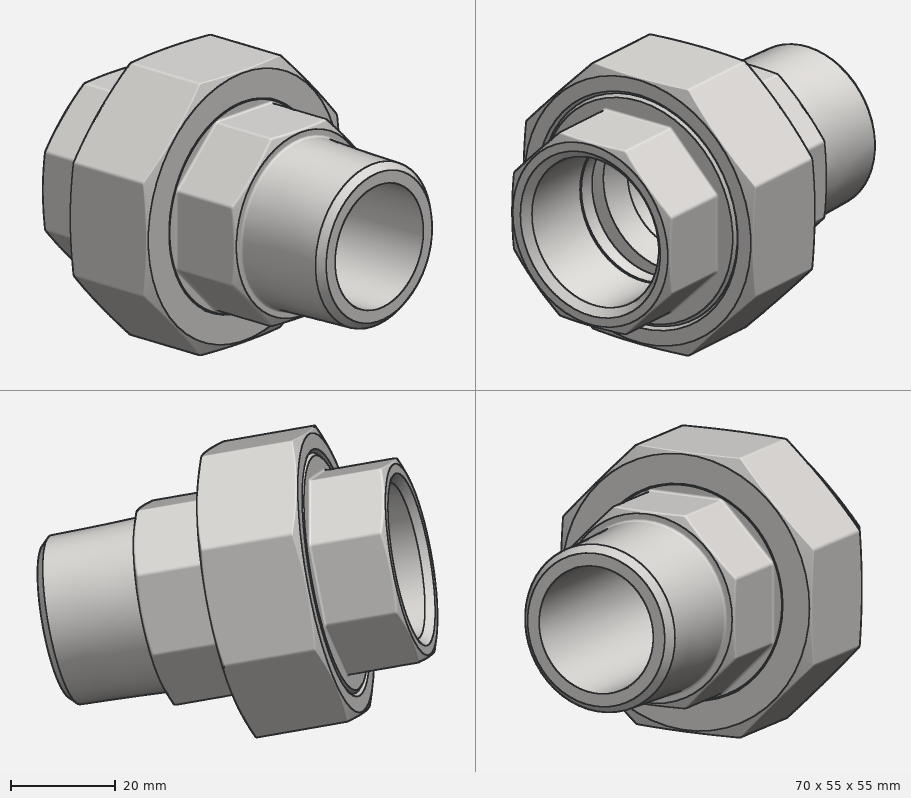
import cadquery as cq
import math

TOTAL_LENGTH = 70.0
NUT_START = 15.0
NUT_END = 35.0
MALE_HEX_END = 50.0

NUT_FLATS = 55.0
BODY_FLATS = 38.0
CORNER_RADIUS = 1.0
NUT_END_CIRCLE = 54.2
BODY_END_CIRCLE = 37.1
END_CHAMFER_ANGLE = 20.0
NUT_EDGE_RADIUS = 0.3
BODY_EDGE_RADIUS = 0.5
BASE_RADIUS = 0.5

THREAD_DIAMETER = 46.75
THREAD_MOUTH = 48.0
FLANGE_FACE = 45.5
COLLAR_DIAMETER = 45.5
NECK_DIAMETER = 42.0
LIP_BORE = 42.5
LIP_THICKNESS = 4.0
COLLAR_THICKNESS = 7.0
FEMALE_END = 20.45

PASSAGE = 25.0
SOCKET_MOUTH = 33.45
SOCKET_DIAMETER = 30.3
RELIEF_DIAMETER = 30.0
SOCKET_DEPTH = 16.8
CONE_HALF_ANGLE = 30.0

SPIGOT_ROOT = 34.0
THREAD_TAPER = 1 / 16
SPIGOT_TIP = 30.0
SPIGOT_CHAMFER = 1.5

TOLERANCE = 0.001

LIP_FACE = NUT_END - LIP_THICKNESS
COLLAR_FACE = LIP_FACE - COLLAR_THICKNESS


def revolved(points):
    """Solid of revolution about X from (x, radius) points; the outline closes along the axis."""
    outline = [(points[0][0], 0), *points, (points[-1][0], 0)]
    return cq.Workplane("XY").polyline(outline).close().revolve(360, (0, 0, 0), (1, 0, 0))


def cylinder(diameter, start, end):
    """Round bar along X."""
    return revolved([(start, diameter / 2), (end, diameter / 2)])


def cone_length(wide, narrow):
    """Axial length of a bore cone between two diameters."""
    return (wide - narrow) / 2 / math.tan(math.radians(CONE_HALF_ANGLE))


def end_cone(circle, face, inward):
    """Room left by the chamfer on one end face; inward is +1 or -1 along X."""
    far_radius = NUT_FLATS
    depth = (far_radius - circle / 2) * math.tan(math.radians(END_CHAMFER_ANGLE))
    return revolved([
        (face, circle / 2),
        (face + inward * depth, far_radius),
        (face + inward * TOTAL_LENGTH, far_radius),
    ])


def octagon(flats, start, end, chamfer_cones, edge_radius):
    """Octagonal bar along X, level flats, long edges rounded, ends turned to the given cones."""
    square = cq.Workplane("YZ", origin=(start, 0, 0)).rect(flats, flats).extrude(end - start)
    diamond = square.rotate((0, 0, 0), (1, 0, 0), 45)
    bar = square.intersect(diamond).edges("|X").fillet(CORNER_RADIUS)
    for cone in chamfer_cones:
        bar = bar.intersect(cone)
    rim = [edge for edge in bar.edges().vals() if edge.geomType() not in ("LINE", "CIRCLE")]
    return bar.newObject(rim).fillet(edge_radius)


def fillet_foot(body, face, largest_radius):
    """Fillet the foot outline lying in the plane X = face, within the given radius."""
    foot = [
        edge
        for edge in body.edges().vals()
        if edge.BoundingBox().xlen < TOLERANCE
        and abs(edge.Center().x - face) < TOLERANCE
        and edge.BoundingBox().zmax < largest_radius
        and edge.BoundingBox().ymax < largest_radius
    ]
    return body.newObject(foot).fillet(BASE_RADIUS)


def nut_body():
    """Union nut: threaded bore open towards the female end, lip at the male end."""
    cones = [
        end_cone(NUT_END_CIRCLE, NUT_START, 1),
        end_cone(NUT_END_CIRCLE, NUT_END, -1),
    ]
    bar = octagon(NUT_FLATS, NUT_START, NUT_END, cones, NUT_EDGE_RADIUS)
    bore = revolved([
        (NUT_START, THREAD_MOUTH / 2),
        (NUT_START + (THREAD_MOUTH - THREAD_DIAMETER) / 2, THREAD_DIAMETER / 2),
        (LIP_FACE, THREAD_DIAMETER / 2),
        (LIP_FACE, LIP_BORE / 2),
        (NUT_END, LIP_BORE / 2),
    ])
    return bar.cut(bore)


def female_body():
    """Octagonal end with a stepped socket and the flange that screws into the nut."""
    cones = [end_cone(BODY_END_CIRCLE, 0, 1)]
    bar = octagon(BODY_FLATS, 0, NUT_START, cones, BODY_EDGE_RADIUS)
    flange = revolved([
        (NUT_START, FLANGE_FACE / 2),
        (NUT_START + (THREAD_DIAMETER - FLANGE_FACE) / 2, THREAD_DIAMETER / 2),
        (FEMALE_END, THREAD_DIAMETER / 2),
    ])
    body = fillet_foot(bar.union(flange), NUT_START, FLANGE_FACE / 2)
    socket = revolved([
        (0, SOCKET_MOUTH / 2),
        ((SOCKET_MOUTH - SOCKET_DIAMETER) / 2, SOCKET_DIAMETER / 2),
        (SOCKET_DEPTH, SOCKET_DIAMETER / 2),
        (SOCKET_DEPTH + cone_length(SOCKET_DIAMETER, RELIEF_DIAMETER), RELIEF_DIAMETER / 2),
        (FEMALE_END, RELIEF_DIAMETER / 2),
    ])
    return body.cut(socket)


def male_body():
    """Octagonal end with a tapered spigot, and the collar and neck held in the nut."""
    cones = [end_cone(BODY_END_CIRCLE, MALE_HEX_END, -1)]
    bar = octagon(BODY_FLATS, NUT_END, MALE_HEX_END, cones, BODY_EDGE_RADIUS)
    neck = cylinder(NECK_DIAMETER, LIP_FACE, NUT_END)
    collar = cylinder(COLLAR_DIAMETER, COLLAR_FACE, LIP_FACE)
    body = fillet_foot(bar.union(neck), NUT_END, NECK_DIAMETER / 2)

    shoulder = TOTAL_LENGTH - SPIGOT_CHAMFER
    shoulder_diameter = SPIGOT_ROOT - THREAD_TAPER * (shoulder - MALE_HEX_END)
    spigot = revolved([
        (MALE_HEX_END, SPIGOT_ROOT / 2),
        (shoulder, shoulder_diameter / 2),
        (TOTAL_LENGTH, SPIGOT_TIP / 2),
    ])
    body = fillet_foot(body.union(spigot), MALE_HEX_END, SPIGOT_ROOT / 2 + BASE_RADIUS)
    body = body.union(collar)
    passage = revolved([
        (COLLAR_FACE, RELIEF_DIAMETER / 2),
        (COLLAR_FACE + cone_length(RELIEF_DIAMETER, PASSAGE), PASSAGE / 2),
        (TOTAL_LENGTH, PASSAGE / 2),
    ])
    return body.cut(passage)


nut = nut_body().solids()
female = female_body().solids()
male = male_body().solids()
result = cq.Compound.makeCompound([nut.val(), female.val(), male.val()])